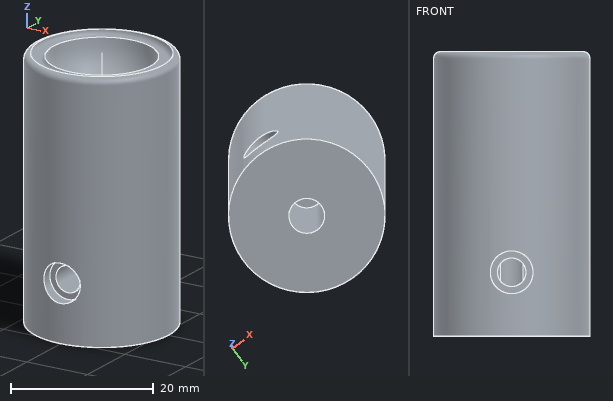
import cadquery as cq
import math

height = 40.0
body_radius = 22.0 / 2
edge_radius = 1.0

cup_radius = 8.0
cup_rim_drop = 0.5
ring_arc_radius = 1.05
pin_radius = 0.003 / 2

screw_height = 9.0
screw_diameter = 4.0
screw_depth = 9.1
counterbore_diameter = 6.0
counterbore_depth = 2.0

bore_diameter = 5.0
bore_depth = 18.0


def arc_middle(start, end, radius):
    """Middle of the minor arc bulging to the right of the path from start to end."""
    run = end[0] - start[0]
    rise = end[1] - start[1]
    chord = math.hypot(run, rise)
    sagitta = radius - math.sqrt(radius**2 - (chord / 2) ** 2)
    middle_x = (start[0] + end[0]) / 2 + sagitta * rise / chord
    middle_z = (start[1] + end[1]) / 2 - sagitta * run / chord
    return middle_x, middle_z


def make_body():
    """Revolve the half section: rounded rim, concave ring, cup and hair-thin centre pin."""
    rim_crest = (body_radius - edge_radius, height)
    cup_rim_z = height - cup_rim_drop
    cup_rim = (cup_radius, cup_rim_z)
    ring_middle = arc_middle(cup_rim, rim_crest, ring_arc_radius)
    round_offset = edge_radius * math.sqrt(0.5)
    round_middle = (rim_crest[0] + round_offset, height - edge_radius + round_offset)
    cup_offset = cup_radius * math.sqrt(0.5)
    cup_middle = (cup_offset, cup_rim_z - cup_offset)
    pin_foot = (pin_radius, cup_rim_z - math.sqrt(cup_radius**2 - pin_radius**2))
    section = (
        cq.Workplane("XZ")
        .lineTo(body_radius, 0)
        .lineTo(body_radius, height - edge_radius)
        .threePointArc(round_middle, rim_crest)
        .threePointArc(ring_middle, cup_rim)
        .threePointArc(cup_middle, pin_foot)
        .lineTo(pin_radius, height)
        .lineTo(0, height)
        .close()
    )
    return section.revolve(360, (0, 0), (0, 1))


def make_screw_hole():
    """Counterbored hole from the -Y side, ending flat inside the axial bore."""
    front = cq.Workplane("XZ", origin=(0, -body_radius, screw_height))
    hole = front.circle(screw_diameter / 2).extrude(-screw_depth)
    counterbore = front.circle(counterbore_diameter / 2).extrude(-counterbore_depth)
    return hole.union(counterbore)


def make_bore():
    """Blind bore up from the base, crossing the end of the screw hole."""
    return cq.Workplane("XY").circle(bore_diameter / 2).extrude(bore_depth)


result = make_body().cut(make_screw_hole()).cut(make_bore())